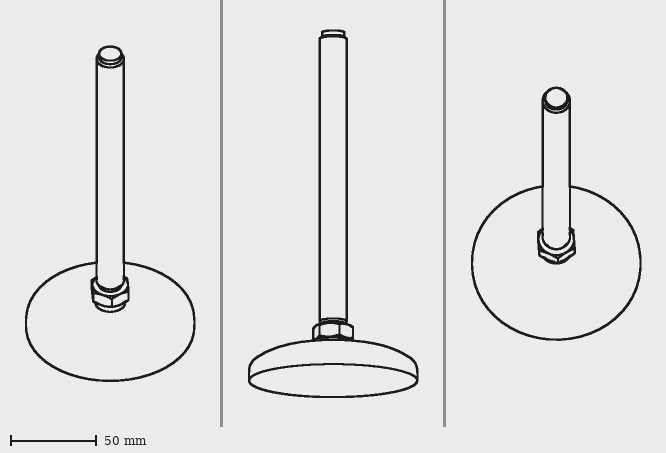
import cadquery as cq
import math


rim_diameter = 98.6
skirt_diameter = 98.2
rim_height = 3.1
edge_height = 6.2
edge_radius = 6.2
base_height = 19.0
flat_diameter = 44.5

ball_diameter = 18.2
ball_center_height = 16.5
ball_neck_diameter = 14.3

hex_across_flats = 20.7
hex_bottom = 24.2
hex_top = 32.3
hex_chamfer_angle = 30
hex_half_side_angle = 30

total_height = 207.2
spindle_diameter = 16.0
spindle_bottom = 34.2
end_diameter = 13.0
end_chamfer_height = 1.2
tip_height = 2.7

overlap = 2.0


def cylinder(diameter, bottom, top):
    return cq.Workplane("XY").workplane(offset=bottom).circle(diameter / 2).extrude(top - bottom)


def revolve_profile(profile):
    """Turn a closed XZ profile about the Z axis."""
    return profile.close().revolve(360, (0, 0, 0), (0, 1, 0))


def make_base():
    """Dome arc, tangent to the flat top, running smoothly into the edge round."""
    skirt_radius = skirt_diameter / 2
    flat_radius = flat_diameter / 2
    edge_center_r = skirt_radius - edge_radius

    run = edge_center_r - flat_radius
    rise = base_height - edge_height
    dome_radius = (run**2 + rise**2 - edge_radius**2) / (2 * (rise - edge_radius))
    dome_center_z = base_height - dome_radius
    meet_angle = math.atan2(edge_height - dome_center_z, run)

    def on_dome(angle):
        return (flat_radius + dome_radius * math.cos(angle), dome_center_z + dome_radius * math.sin(angle))

    def on_edge(angle):
        return (edge_center_r + edge_radius * math.cos(angle), edge_height + edge_radius * math.sin(angle))

    profile = (
        cq.Workplane("XZ")
        .lineTo(skirt_radius, 0)
        .lineTo(rim_diameter / 2, rim_height)
        .lineTo(skirt_radius, edge_height)
        .threePointArc(on_edge(meet_angle / 2), on_edge(meet_angle))
        .threePointArc(on_dome((meet_angle + math.pi / 2) / 2), (flat_radius, base_height))
        .lineTo(0, base_height)
    )
    return revolve_profile(profile)


def make_ball_joint():
    """Ball sunk into the base, with the neck that carries the hexagon."""
    ball = cq.Workplane("XY").sphere(ball_diameter / 2).translate((0, 0, ball_center_height))
    neck = cylinder(ball_neck_diameter, ball_center_height, hex_bottom + overlap)
    return ball.union(neck)


def make_hexagon():
    """Hexagon with two flats facing X and conically chamfered corners on both ends."""
    flat_r = hex_across_flats / 2
    corner_r = flat_r / math.cos(math.radians(hex_half_side_angle))
    chamfer_height = (corner_r - flat_r) * math.tan(math.radians(hex_chamfer_angle))

    prism = (
        cq.Workplane("XY")
        .workplane(offset=hex_bottom)
        .polygon(6, 2 * corner_r)
        .extrude(hex_top - hex_bottom)
        .rotate((0, 0, 0), (0, 0, 1), hex_half_side_angle)
    )
    chamfer_envelope = (
        cylinder(2 * corner_r, hex_bottom, hex_top)
        .faces("<Z or >Z")
        .edges()
        .chamfer(chamfer_height, corner_r - flat_r)
    )
    return prism.intersect(chamfer_envelope)


def make_spindle():
    """Full-diameter rod with coned ends, a relief below it and a plain pin on its tip."""
    rod_r = spindle_diameter / 2
    end_r = end_diameter / 2
    spindle_top = total_height - tip_height
    profile = (
        cq.Workplane("XZ")
        .moveTo(0, hex_top - overlap)
        .lineTo(end_r, hex_top - overlap)
        .lineTo(end_r, spindle_bottom)
        .lineTo(rod_r, spindle_bottom + end_chamfer_height)
        .lineTo(rod_r, spindle_top - end_chamfer_height)
        .lineTo(end_r, spindle_top)
        .lineTo(end_r, total_height)
        .lineTo(0, total_height)
    )
    return revolve_profile(profile)


result = make_base().union(make_ball_joint()).union(make_hexagon()).union(make_spindle())